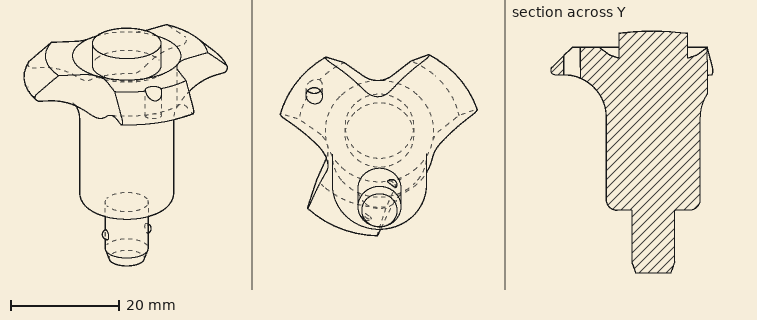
import cadquery as cq
import math

TOTAL_HEIGHT = 44.7
BUTTON_EDGE_Z = 44.3
HANDLE_TOP_Z = 41.7
RIM_BOTTOM_Z = 36.55
NECK_Z = 28.8
BODY_BOTTOM_Z = 11.58

HANDLE_RADIUS = 19.0
HANDLE_TOP_RADIUS = 15.0
HUB_RADIUS = 10.0
BODY_RADIUS = 8.7
BUTTON_RADIUS = 6.35
PIN_RADIUS = 4.0
RIM_ROUND = 0.85
BODY_ROUND = 2.0

TIP_RADIUS = 3.25
TIP_HEIGHT = 2.0
BALL_RADIUS = 1.0
BALL_Z = 5.5
BALL_REACH = 4.75

RECESS_STEP_RADIUS = 8.05
RECESS_STEP_DEPTH = 1.45
RECESS_DEPTH = 2.0

ARM_HALF_WIDTH = 6.97
ARM_ANGLE = 103.8
ARM_HOLE_RADIUS = 1.5
REAR_FILLET = 4.02
ARM_OVERSHOOT = 2.25


def polar(radius, degrees):
    angle = math.radians(degrees)
    return (radius * math.cos(angle), radius * math.sin(angle))


def swung_arm_point(along, across):
    """Point on the swung arm: along its centre line and to the left of it."""
    dx, dy = polar(1.0, ARM_ANGLE)
    return (along * dx - across * dy, along * dy + across * dx)


def mirrored(point):
    return (point[0], -point[1])


def turned_handle():
    """Body, flared neck and sloped rim as one revolved profile."""
    diagonal = math.sqrt(0.5)
    flare = RIM_BOTTOM_Z - NECK_Z
    rim_x = HANDLE_RADIUS - RIM_ROUND
    rim_z = RIM_BOTTOM_Z + RIM_ROUND
    profile = (
        cq.Workplane("XZ")
        .moveTo(0, BODY_BOTTOM_Z)
        .lineTo(BODY_RADIUS - BODY_ROUND, BODY_BOTTOM_Z)
        .radiusArc((BODY_RADIUS, BODY_BOTTOM_Z + BODY_ROUND), -BODY_ROUND)
        .lineTo(BODY_RADIUS, NECK_Z)
        .radiusArc((BODY_RADIUS + flare, RIM_BOTTOM_Z), flare)
        .lineTo(rim_x, RIM_BOTTOM_Z)
        .threePointArc(
            (HANDLE_RADIUS, rim_z),
            (rim_x + RIM_ROUND * diagonal, rim_z + RIM_ROUND * diagonal),
        )
        .lineTo(HANDLE_TOP_RADIUS, HANDLE_TOP_Z)
        .lineTo(0, HANDLE_TOP_Z)
        .close()
    )
    return profile.revolve(360, (0, 0), (0, 1))


def arm_plan():
    """Plan of hub and three arms, extruded over the full handle height."""
    reach = HANDLE_RADIUS + ARM_OVERSHOOT

    half_angle = math.radians(ARM_ANGLE / 2)
    corner_radius = ARM_HALF_WIDTH / math.sin(half_angle)
    notch_round = (HUB_RADIUS - corner_radius) / (1 / math.sin(half_angle) - 1)
    notch_start = (ARM_HALF_WIDTH + notch_round) / math.tan(half_angle)

    fillet_offset = ARM_HALF_WIDTH + REAR_FILLET
    fillet_distance = HUB_RADIUS + REAR_FILLET
    fillet_along = math.sqrt(fillet_distance**2 - fillet_offset**2)
    hub_angle = ARM_ANGLE + math.degrees(math.asin(fillet_offset / fillet_distance))

    arm_edge = (reach, ARM_HALF_WIDTH)
    notch_arm = (notch_start, ARM_HALF_WIDTH)
    notch_middle = polar(HUB_RADIUS, ARM_ANGLE / 2)
    notch_swung = swung_arm_point(notch_start, -ARM_HALF_WIDTH)
    swung_front = swung_arm_point(reach, -ARM_HALF_WIDTH)
    swung_rear = swung_arm_point(reach, ARM_HALF_WIDTH)
    fillet_arm = swung_arm_point(fillet_along, ARM_HALF_WIDTH)
    fillet_hub = polar(HUB_RADIUS, hub_angle)

    outline = (
        cq.Workplane("XY")
        .moveTo(*arm_edge)
        .lineTo(*notch_arm)
        .threePointArc(notch_middle, notch_swung)
        .lineTo(*swung_front)
        .lineTo(*swung_rear)
        .lineTo(*fillet_arm)
        .radiusArc(fillet_hub, REAR_FILLET)
        .threePointArc((-HUB_RADIUS, 0), mirrored(fillet_hub))
        .radiusArc(mirrored(fillet_arm), REAR_FILLET)
        .lineTo(*mirrored(swung_rear))
        .lineTo(*mirrored(swung_front))
        .lineTo(*mirrored(notch_swung))
        .threePointArc(mirrored(notch_middle), mirrored(notch_arm))
        .lineTo(*mirrored(arm_edge))
        .close()
    )
    return outline.extrude(TOTAL_HEIGHT)


def recess():
    """Recess around the button: a steep outer cone, then a gentler one down to the button wall."""
    step_z = HANDLE_TOP_Z - RECESS_STEP_DEPTH
    floor_z = HANDLE_TOP_Z - RECESS_DEPTH
    profile = cq.Workplane("XZ").polyline(
        [
            (0, floor_z),
            (BUTTON_RADIUS, floor_z),
            (RECESS_STEP_RADIUS, step_z),
            (HUB_RADIUS, HANDLE_TOP_Z),
            (0, HANDLE_TOP_Z),
        ]
    )
    return profile.close().revolve(360, (0, 0), (0, 1))


def arm_hole():
    """Lanyard hole through the +X arm, centred on the edge of its flat top."""
    return cq.Workplane("XY").center(HANDLE_TOP_RADIUS, 0).circle(ARM_HOLE_RADIUS).extrude(TOTAL_HEIGHT)


def pin_and_button():
    """Pin with tapered tip, running up through the body to the domed button."""
    dome_rise = TOTAL_HEIGHT - BUTTON_EDGE_Z
    dome_radius = (BUTTON_RADIUS**2 + dome_rise**2) / (2 * dome_rise)
    profile = (
        cq.Workplane("XZ")
        .moveTo(0, 0)
        .lineTo(TIP_RADIUS, 0)
        .lineTo(PIN_RADIUS, TIP_HEIGHT)
        .lineTo(PIN_RADIUS, NECK_Z)
        .lineTo(BUTTON_RADIUS, NECK_Z)
        .lineTo(BUTTON_RADIUS, BUTTON_EDGE_Z)
        .radiusArc((0, TOTAL_HEIGHT), -dome_radius)
        .close()
    )
    return profile.revolve(360, (0, 0), (0, 1))


def locking_ball(side):
    ball_y = side * (BALL_REACH - BALL_RADIUS)
    return cq.Workplane("XY").sphere(BALL_RADIUS).translate((0, ball_y, BALL_Z))


handle = turned_handle().intersect(arm_plan()).cut(recess()).cut(arm_hole())
result = handle.union(pin_and_button())
for side in (-1, 1):
    result = result.union(locking_ball(side))